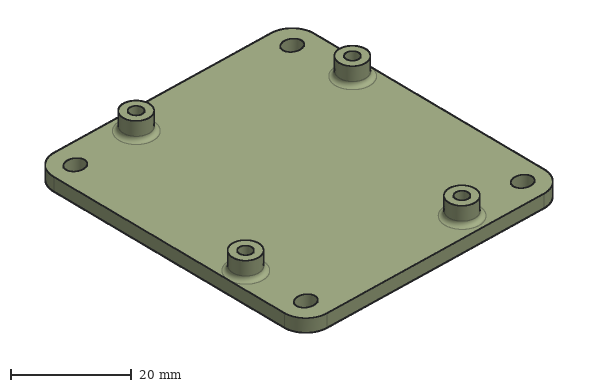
import cadquery as cq

plate_length = 65.0
plate_width = 60.0
plate_thickness = 3.0
corner_radius = 5.0

hole_width = 3.65
hole_length = 4.2
hole_spacing_x = 55.0
hole_spacing_y = 50.0

standoff_diameter = 6.0
standoff_height = 4.0
standoff_bore = 2.8
foot_fillet = 1.0
standoff_pair_positions = [(-14.2, 26.0), (27.6, 10.85)]


def make_plate():
    """Rounded plate, resting on Z = 0 and centred in X and Y."""
    plate = cq.Workplane("XY").box(
        plate_length, plate_width, plate_thickness, centered=(True, True, False)
    )
    return plate.edges("|Z").fillet(corner_radius)


def make_mounting_holes():
    """Cutters for the corner holes, elongated along Y."""
    return (
        cq.Workplane("XY")
        .rarray(hole_spacing_x, hole_spacing_y, 2, 2)
        .ellipse(hole_width / 2, hole_length / 2)
        .extrude(plate_thickness)
    )


def make_standoff():
    """Solid standoff of revolution with a concave fillet flaring out at its foot."""
    radius = standoff_diameter / 2
    arc_offset = foot_fillet * (1 - 0.5**0.5)
    return (
        cq.Workplane("XZ")
        .lineTo(radius + foot_fillet, 0)
        .threePointArc((radius + arc_offset, arc_offset), (radius, foot_fillet))
        .lineTo(radius, standoff_height)
        .lineTo(0, standoff_height)
        .close()
        .revolve(360, (0, 0, 0), (0, 1, 0))
    )


result = make_plate().cut(make_mounting_holes())

standoff_positions = []
for x, y in standoff_pair_positions:
    standoff_positions += [(x, y), (-x, -y)]

for x, y in standoff_positions:
    result = result.union(make_standoff().translate((x, y, plate_thickness)))

bores = (
    cq.Workplane("XY")
    .pushPoints(standoff_positions)
    .circle(standoff_bore / 2)
    .extrude(plate_thickness + standoff_height)
)
result = result.cut(bores)